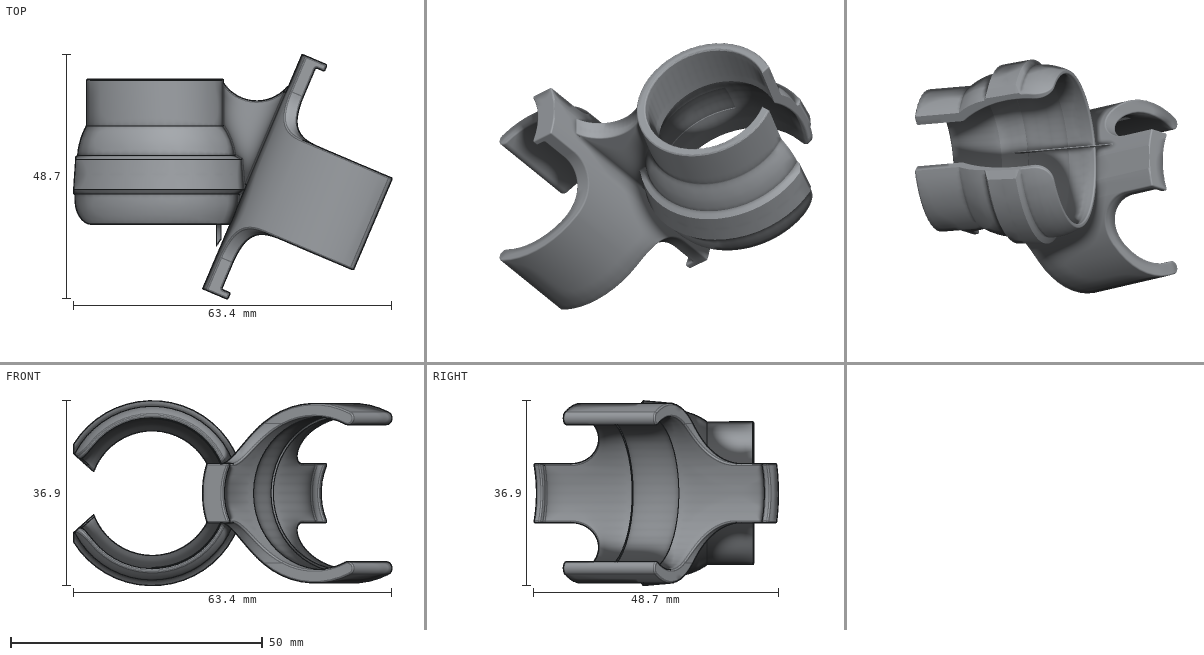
import cadquery as cq
import math

NECK_RADIUS = 14.25
NECK_BORE_RADIUS = 12.4
NECK_LENGTH = 9.3
FLARE_END_RADIUS = 16.5
FLARE_END = 15.2
BAND_START_RADIUS = 17.9
BAND_START = 16.0
BAND_RADIUS = 18.435
BAND_END = 22.0
MOUTH_SHOULDER_RADIUS = 17.3
MOUTH_SHOULDER = 22.9
MOUTH_RADIUS = 15.8
MOUTH_BORE_RADIUS = 14.95
CLIP_LENGTH = 28.9
CAVITY_START = 10.2
CAVITY_END_RADIUS = 15.6
CAVITY_END = 26.1
BULGE = 0.4
CAVITY_BULGE = 1.6
BAND_FLAT_START_X = -15.25
BAND_FLAT_END_X = -15.65
OPENING_APEX_X = -6.9
OPENING_HALF_ANGLE = 42.0
OPENING_CORNER_RADIUS = 3.8
EDGE_ROUND = 0.3
RECESS_DEPTH = 0.2
RECESS_START = 15.0
RECESS_END = 23.1

CROSS_TILT = 23.0
CROSS_RADIUS = 17.9
CROSS_BORE_RADIUS = 15.25
CROSS_BACK_OFFSET = 25.4
CROSS_TIP_ANGLE = 25.6
SPINE_LOW = -34.5
SPINE_HIGH = 16.25
SPINE_HALF_WIDTH = 5.9
ARM_LOW = -19.35
ARM_HIGH = 0.55
ARM_FILLET = 8.0
LIP_RADIUS = 13.5
LIP_THICKNESS = 1.4
BACK_FLAT_HALF_WIDTH = 2.4
CROSS_RECESS_START = -14.4
CROSS_RECESS_WIDTH = 10.1
CROSS_RECESS_DEPTH = 0.5

WEB_HALF_THICKNESS = 2.0
WEB_TOP_START = (14.0, -0.4)
WEB_TOP_MIDDLE = (20.5, -4.3)
WEB_TOP_END_V = 9.2
WEB_WALL_OVERLAP = 0.5
WEB_ROOT_FILLET = 0.4
WEB_ROOT_LOW_V = -12.0
WEB_ROOT_HIGH_V = 8.0
WEB_EMBED = 0.8
FIN_X = (12.8, 13.75)
FIN_Y = (-33.2, -31.8, -11.0)
FIN_Z = 3.95
FIN_THICKNESS = 0.15

CROSS_CENTER = CROSS_BACK_OFFSET + CROSS_RADIUS
BACK_FLAT_DEPTH = CROSS_RADIUS - math.sqrt(CROSS_RADIUS ** 2 - BACK_FLAT_HALF_WIDTH ** 2)


def bowed(start, end, bulge):
    """Point beside the middle of a chord, moved outward by the bulge."""
    dx = end[0] - start[0]
    dy = end[1] - start[1]
    length = math.hypot(dx, dy)
    middle_x = (start[0] + end[0]) / 2
    middle_y = (start[1] + end[1]) / 2
    return (middle_x - dy / length * bulge, middle_y + dx / length * bulge)


def revolved_about_y(outline):
    return outline.close().revolve(360, (0, 0, 0), (0, 1, 0))


def clip_body():
    neck = (NECK_RADIUS, -NECK_LENGTH)
    flare = (FLARE_END_RADIUS, -FLARE_END)
    shoulder = (MOUTH_SHOULDER_RADIUS, -MOUTH_SHOULDER)
    mouth = (MOUTH_RADIUS, -CLIP_LENGTH)
    outline = (
        cq.Workplane("XY").moveTo(0, 0)
        .lineTo(NECK_RADIUS, 0)
        .lineTo(*neck)
        .threePointArc(bowed(neck, flare, BULGE), flare)
        .lineTo(BAND_START_RADIUS, -BAND_START)
        .lineTo(BAND_RADIUS, -BAND_END)
        .lineTo(*shoulder)
        .threePointArc(bowed(shoulder, mouth, BULGE), mouth)
        .lineTo(0, -CLIP_LENGTH)
    )
    body = revolved_about_y(outline)
    trim = (
        cq.Workplane("XY").moveTo(BAND_FLAT_START_X, -BAND_START + 1)
        .lineTo(BAND_FLAT_START_X, -BAND_START)
        .lineTo(BAND_FLAT_END_X, -BAND_END)
        .lineTo(BAND_FLAT_END_X, -MOUTH_SHOULDER)
        .lineTo(-2 * BAND_RADIUS, -MOUTH_SHOULDER)
        .lineTo(-2 * BAND_RADIUS, -BAND_START + 1)
        .close().extrude(BAND_RADIUS, both=True)
    )
    return body.cut(trim)


def clip_cavity(offset=0.0):
    neck = (NECK_BORE_RADIUS + offset, -CAVITY_START)
    end = (CAVITY_END_RADIUS + offset, -CAVITY_END)
    mouth = (MOUTH_BORE_RADIUS + offset, -CLIP_LENGTH)
    outline = (
        cq.Workplane("XY").moveTo(0, 0)
        .lineTo(neck[0], 0)
        .lineTo(*neck)
        .threePointArc(bowed(neck, end, CAVITY_BULGE), end)
        .lineTo(*mouth)
        .lineTo(0, -CLIP_LENGTH)
    )
    return revolved_about_y(outline)


def clip_recess():
    slab = cq.Workplane("XY").box(
        2 * BAND_RADIUS, RECESS_END - RECESS_START, 2 * BAND_RADIUS)
    slab = slab.translate((BAND_RADIUS, -(RECESS_START + RECESS_END) / 2, 0))
    return clip_cavity(RECESS_DEPTH).intersect(slab)


def clip_opening():
    reach = 2 * BAND_RADIUS
    half_height = reach * math.tan(math.radians(OPENING_HALF_ANGLE))
    wedge = (
        cq.Workplane("XZ").moveTo(OPENING_APEX_X, 0)
        .lineTo(OPENING_APEX_X - reach, half_height)
        .lineTo(OPENING_APEX_X - reach, -half_height)
        .close().extrude(CLIP_LENGTH)
    )
    return wedge


def arc_sector(outer, inner, length, start):
    """C-shaped ring along the local axis, closed toward -X and ending in full rounds."""
    tip = math.radians(CROSS_TIP_ANGLE)
    cap = (outer - inner) / 2
    middle = (outer + inner) / 2

    def at(radius, side):
        return (radius * math.sin(tip), side * radius * math.cos(tip))

    def tip_end(side):
        base = at(middle, side)
        return (base[0] + cap * math.cos(tip), base[1] - side * cap * math.sin(tip))

    return (
        cq.Workplane("XZ").moveTo(*at(outer, 1))
        .threePointArc((-outer, 0), at(outer, -1))
        .threePointArc(tip_end(-1), at(inner, -1))
        .threePointArc((-inner, 0), at(inner, 1))
        .threePointArc(tip_end(1), at(outer, 1))
        .close().extrude(-length)
        .translate((0, start, 0))
    )


def cross_outline():
    """Cross-shaped prism along X: the spine strip plus the arm strip with rounded inside corners."""
    depth = 4 * CROSS_RADIUS
    height = 2.5 * CROSS_RADIUS
    spine = cq.Workplane("XY").box(depth, SPINE_HIGH - SPINE_LOW, 2 * SPINE_HALF_WIDTH)
    spine = spine.translate((0, (SPINE_HIGH + SPINE_LOW) / 2, 0))
    arms = cq.Workplane("XY").box(depth, ARM_HIGH - ARM_LOW, height)
    arms = arms.translate((0, (ARM_HIGH + ARM_LOW) / 2, 0))
    corners = cq.selectors.BoxSelector(
        (-depth, ARM_LOW - 1, -SPINE_HALF_WIDTH - 1),
        (depth, ARM_HIGH + 1, SPINE_HALF_WIDTH + 1))
    return spine.union(arms).edges("|X").edges(corners).fillet(ARM_FILLET)


def ring_slab(inner, start, length):
    ring = cq.Workplane("XZ").circle(CROSS_BORE_RADIUS + 1).circle(inner).extrude(-length)
    keep = cq.Workplane("XY").box(2 * CROSS_RADIUS, 4 * CROSS_RADIUS, 4 * CROSS_RADIUS)
    return ring.translate((0, start, 0)).intersect(keep.translate((-CROSS_RADIUS, start, 0)))


def cross_clip():
    """Cross clip built with its axis along Y and its center on the Z axis."""
    length = SPINE_HIGH - SPINE_LOW
    body = arc_sector(CROSS_RADIUS, CROSS_BORE_RADIUS, length, SPINE_LOW)
    for start in (SPINE_LOW, SPINE_HIGH - LIP_THICKNESS):
        body = body.union(ring_slab(LIP_RADIUS, start, LIP_THICKNESS))
    body = body.intersect(cross_outline()).edges().fillet(EDGE_ROUND)

    flat_x = BACK_FLAT_DEPTH - CROSS_RADIUS
    flat = cq.Workplane("XY").box(CROSS_RADIUS, 3 * length, 2 * CROSS_RADIUS)
    body = body.cut(flat.translate((flat_x - CROSS_RADIUS / 2, 0, 0)))
    return body


def cross_recess():
    ring = cq.Workplane("XZ").circle(CROSS_BORE_RADIUS + CROSS_RECESS_DEPTH).extrude(-CROSS_RECESS_WIDTH)
    keep = cq.Workplane("XY").box(2 * CROSS_RADIUS, 4 * CROSS_RADIUS, 4 * CROSS_RADIUS)
    keep = keep.translate((-CROSS_RADIUS, CROSS_RECESS_START, 0))
    return ring.translate((0, CROSS_RECESS_START, 0)).intersect(keep)


def place_cross(shape):
    return shape.translate((CROSS_CENTER, 0, 0)).rotate((0, 0, 0), (0, 0, 1), -CROSS_TILT)


def cross_point(u, v):
    """World XY of a point given across (u) and along (v) the cross clip axis."""
    tilt = math.radians(CROSS_TILT)
    return (
        u * math.cos(tilt) + v * math.sin(tilt),
        v * math.cos(tilt) - u * math.sin(tilt),
    )


def web():
    tilt = math.radians(CROSS_TILT)
    back = CROSS_BACK_OFFSET + WEB_EMBED
    low_y = EDGE_ROUND - CLIP_LENGTH
    low_v = (low_y + back * math.sin(tilt)) / math.cos(tilt)
    outline = (
        cq.Workplane("XY").moveTo(0, WEB_TOP_START[1])
        .lineTo(*WEB_TOP_START)
        .threePointArc(WEB_TOP_MIDDLE, cross_point(CROSS_BACK_OFFSET, WEB_TOP_END_V))
        .lineTo(*cross_point(back, WEB_TOP_END_V))
        .lineTo(*cross_point(back, low_v))
        .lineTo(0, low_y)
        .close()
    )
    plate = outline.extrude(WEB_HALF_THICKNESS, both=True)
    plate = plate.edges("%CIRCLE").fillet(EDGE_ROUND)
    return plate.cut(clip_cavity(WEB_WALL_OVERLAP))


def web_root(side):
    """Concave fillet strip between one face of the web and the flat back of the spine."""
    back = CROSS_BACK_OFFSET + WEB_EMBED
    front = CROSS_BACK_OFFSET - WEB_ROOT_FILLET + BACK_FLAT_DEPTH
    top = side * (WEB_HALF_THICKNESS + WEB_ROOT_FILLET)
    inset = WEB_ROOT_FILLET * (1 - math.sqrt(0.5))
    middle = (front + WEB_ROOT_FILLET - inset, side * (WEB_HALF_THICKNESS + inset))
    strip = (
        cq.Workplane("XZ").moveTo(front, 0)
        .lineTo(front, side * WEB_HALF_THICKNESS)
        .threePointArc(middle, (front + WEB_ROOT_FILLET, top))
        .lineTo(back, top)
        .lineTo(back, 0)
        .close().extrude(WEB_ROOT_LOW_V - WEB_ROOT_HIGH_V)
    )
    strip = strip.translate((0, WEB_ROOT_LOW_V, 0))
    return strip.rotate((0, 0, 0), (0, 0, 1), -CROSS_TILT)


def fin():
    outline = cq.Workplane("XY").polyline([
        (FIN_X[0], FIN_Y[0]), (FIN_X[1], FIN_Y[1]),
        (FIN_X[1], FIN_Y[2]), (FIN_X[0], FIN_Y[2])]).close()
    return outline.extrude(FIN_THICKNESS).translate((0, 0, FIN_Z))


def stepped_clip():
    shell = clip_body().cut(clip_cavity()).cut(clip_opening())
    mouth_corners = cq.selectors.BoxSelector(
        (-BAND_RADIUS, -CLIP_LENGTH - 0.1, -BAND_RADIUS),
        (OPENING_APEX_X, -CLIP_LENGTH + 0.1, BAND_RADIUS))
    shell = shell.edges("%LINE").edges(mouth_corners).fillet(OPENING_CORNER_RADIUS)
    return shell.faces(">Y or <Y").edges().fillet(EDGE_ROUND)


def clip_with_web():
    """Stepped clip joined to the web, with small fillets where the web meets its outer surface."""
    joined = stepped_clip().union(web())
    for side in (1, -1):
        height = side * WEB_HALF_THICKNESS
        seam = cq.selectors.BoxSelector(
            (NECK_RADIUS - 0.5, -CLIP_LENGTH, height - 0.1),
            (BAND_RADIUS, 0, height + 0.1))
        joined = joined.edges(seam).fillet(EDGE_ROUND)
    return joined


result = clip_with_web().union(place_cross(cross_clip()))
for web_side in (1, -1):
    result = result.union(web_root(web_side))
result = result.cut(clip_recess()).cut(place_cross(cross_recess())).union(fin())